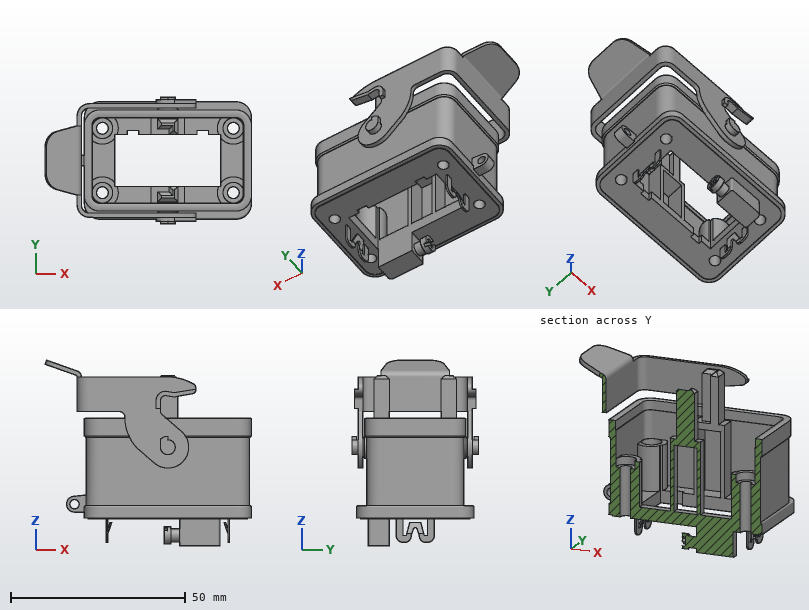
import cadquery as cq
import math


RIM_X, RIM_Y, RIM_RADIUS = 47.95, 29.0, 4.5
WALL_STEP = 0.55
FLANGE_Y = 33.75
SEAL_STEP, SEAL_INSET = 0.3, 1.1
FLANGE_TOP, FLANGE_ROUND = 3.85, 0.5
RIM_BOTTOM, RIM_TOP, RIM_CHAMFER = 23.45, 28.8, 0.4
RIM_WIDTH, RIM_CROWN = 2.2, 0.2
LEDGE_Z, LEDGE_WIDTH = 26.0, 0.2
OPENING_X, OPENING_Y = 30.3, 14.8
NOTCH_X, NOTCH_WIDTH, NOTCH_DEPTH = 10.0, 3.2, 1.1
CAVITY_HALF_Y = RIM_Y / 2 - RIM_WIDTH - LEDGE_WIDTH

BOSS_X, BOSS_Y = 18.75, 9.25
BOSS_RADIUS, BOSS_TOP = 4.55, 17.4
HOLE_RADIUS, BORE_RADIUS, BORE_DEPTH = 1.65, 2.95, 2.35

BLOCK_X, BLOCK_TOP = 9.6, 25.75
POCKET_X, POCKET_TOP, POCKET_DEPTH = 7.1, 23.7, 5.3
POST_X, POST_TOP, POST_CHAMFER = 5.8, 41.15, 1.05
POST_OUTER_Y, POST_STEP_Y, POST_STEP_X = 11.85, 9.0, 0.35

EYE_X, EYE_Z, EYE_RADIUS, EYE_HOLE, EYE_WIDTH = -26.75, 4.25, 2.3, 1.3, 3.1
EYE_ROOT_TOP = 6.9

PIVOT_Z = 20.6
LEVER_LEFT, LEVER_Y, LEVER_THICKNESS, LEVER_RADIUS = -26.05, 32.7, 1.3, 3.6
LEVER_TOP, BAND_BOTTOM = 40.7, 30.8
EAR_RADIUS, EAR_ANGLE = 6.0, 41.0
NECK_X, NECK_ROUND = -12.4, 1.5
HEEL_LENGTH = 6.75
THROAT_LENGTH = 7.45
NOSE_ARC = 14.7
NOSE_X = 7.3
TIP = (8.1, 37.25)
LIP_END = (6.9, 35.85)
SLOT_X, SLOT_BOTTOM = -2.15, 31.1
HOOK_X, HOOK_Z = -0.65, 33.9
DIP_X, DIP_Z = 1.85, 35.0
RIB_WIDTH, RIB_HEIGHT, RIB_BOTTOM = 1.25, 1.1, 31.65

TAB_TILT = 19.5
TAB_LENGTH, TAB_BEND = 9.35, 0.55
TAB_ROOT_WIDTH, TAB_END_WIDTH, TAB_CORNER = 19.75, 14.9, 4.6

PIN_RADIUS, PIN_SPAN = 2.15, 36.3
PIN_END_Y = PIN_SPAN / 2
CAM_RADIUS, CAM_THICKNESS = 3.15, 1.35
DISC_RADIUS, CONE_RADIUS, CONE_TIP_RADIUS = 3.25, 3.15, 2.5

TERMINAL_X, TERMINAL_LENGTH = 3.4, 11.6
TERMINAL_WIDTH, TERMINAL_DROP = 6.1, 7.7
TERMINAL_NEAR_ROUND, TERMINAL_FAR_ROUND = 0.6, 1.1
SCREW_Y, SCREW_Z = -10.4, -4.7
SHANK_RADIUS, SHANK_LENGTH = 1.95, 2.5
HEAD_RADIUS, HEAD_LENGTH = 2.5, 1.95
DRIVE_WIDTH, DRIVE_DEPTH, CROSS_LENGTH, DRIVE_ANGLE = 1.0, 0.95, 2.7, 45.0

CLIP_X, CLIP_THICKNESS = 17.15, 0.55
CLIP_HALF_WIDTH, CLIP_LEG = 5.5, 2.0
CLIP_BOTTOM, CLIP_SEAT, CLIP_INNER = -6.7, -4.7, 1.1
TONGUE_ROOT, TONGUE_TIP, TONGUE_TOP = 2.6, 1.6, -0.95
TONGUE_LEAN, TONGUE_FOLD, ARCH_RADIUS, ARCH_Z = 1.1, -4.15, 0.55, -2.95

EMBED = 0.6


def rounded_slab(size_x, size_y, radius, bottom, top):
    slab = cq.Workplane("XY", origin=(0, 0, bottom)).rect(size_x, size_y).extrude(top - bottom)
    return slab.edges("|Z").fillet(radius)


def box(x0, x1, y0, y1, z0, z1):
    return cq.Workplane("XY").box(x1 - x0, y1 - y0, z1 - z0, centered=False).translate((x0, y0, z0))


def xz_sketch(y):
    """Workplane on the XZ plane; a positive extrusion runs towards -Y."""
    return cq.Workplane("XZ", origin=(0, y, 0))


def both_sides(front):
    return front.union(front.mirror("XZ"))


def make_shell():
    inset = 2 * SEAL_INSET
    shell = rounded_slab(RIM_X - inset, FLANGE_Y - inset, RIM_RADIUS - SEAL_INSET, 0, FLANGE_TOP / 2)
    flange = rounded_slab(RIM_X, FLANGE_Y, RIM_RADIUS, SEAL_STEP, FLANGE_TOP)
    shell = shell.union(flange.faces(">Z").edges().fillet(FLANGE_ROUND))
    body_x, body_y = RIM_X - 2 * WALL_STEP, RIM_Y - 2 * WALL_STEP
    shell = shell.union(rounded_slab(body_x, body_y, RIM_RADIUS - WALL_STEP, SEAL_STEP, RIM_TOP))
    rim = rounded_slab(RIM_X, RIM_Y, RIM_RADIUS, RIM_BOTTOM, RIM_TOP)
    shell = shell.union(rim.faces("<Z").edges().chamfer(RIM_CHAMFER))
    for wall, bottom, top in ((RIM_WIDTH + LEDGE_WIDTH, FLANGE_TOP, LEDGE_Z), (RIM_WIDTH, LEDGE_Z, RIM_TOP)):
        shell = shell.cut(rounded_slab(RIM_X - 2 * wall, RIM_Y - 2 * wall, RIM_RADIUS - wall, bottom, top))
    return shell


def make_rim_crown():
    """Slightly domed bead along the top of the rim."""
    half = RIM_WIDTH / 2
    middle = rounded_slab(RIM_X - RIM_WIDTH, RIM_Y - RIM_WIDTH, RIM_RADIUS - half, RIM_BOTTOM, RIM_TOP)
    path = middle.faces(">Z").wires()
    section = (
        cq.Workplane("YZ", origin=(0, (RIM_Y - RIM_WIDTH) / 2, RIM_TOP))
        .moveTo(-half, 0)
        .threePointArc((0, RIM_CROWN), (half, 0))
        .close()
    )
    return section.sweep(path, transition="round")


def make_blocks():
    inner_y = OPENING_Y / 2
    block = box(-BLOCK_X / 2, BLOCK_X / 2, -CAVITY_HALF_Y - EMBED, -inner_y, EMBED, BLOCK_TOP)
    return both_sides(block)


def make_block_pockets():
    inner_y = OPENING_Y / 2
    pocket = box(-POCKET_X / 2, POCKET_X / 2, -inner_y - POCKET_DEPTH, -inner_y, FLANGE_TOP, POCKET_TOP)
    return both_sides(pocket)


def make_posts():
    inner_y = OPENING_Y / 2
    post = (
        cq.Workplane("XY", origin=(0, 0, BLOCK_TOP - EMBED))
        .moveTo(-POST_X / 2, -POST_OUTER_Y)
        .lineTo(POST_X / 2, -POST_OUTER_Y)
        .lineTo(POST_X / 2, -inner_y)
        .lineTo(POST_STEP_X, -inner_y)
        .lineTo(POST_STEP_X, -POST_STEP_Y)
        .lineTo(-POST_X / 2, -POST_STEP_Y)
        .close()
        .extrude(POST_TOP - BLOCK_TOP + EMBED)
    )
    return both_sides(post.faces(">Z").edges().chamfer(POST_CHAMFER))


def corner_cylinders(radius, bottom, top):
    return (
        cq.Workplane("XY", origin=(0, 0, bottom))
        .rect(2 * BOSS_X, 2 * BOSS_Y, forConstruction=True)
        .vertices()
        .circle(radius)
        .extrude(top - bottom)
    )


def make_bosses():
    envelope = rounded_slab(RIM_X - RIM_WIDTH, RIM_Y - RIM_WIDTH, RIM_RADIUS - RIM_WIDTH / 2, 0, BOSS_TOP)
    return corner_cylinders(BOSS_RADIUS, EMBED, BOSS_TOP).intersect(envelope)


def make_floor_opening():
    half_x, half_y = OPENING_X / 2, OPENING_Y / 2
    opening = box(-half_x, half_x, -half_y, half_y, 0, BOSS_TOP)
    for x in (-NOTCH_X, NOTCH_X):
        left, right = x - NOTCH_WIDTH / 2, x + NOTCH_WIDTH / 2
        opening = opening.union(box(left, right, 0, half_y + NOTCH_DEPTH, 0, FLANGE_TOP))
    return opening


def make_eyelet():
    root_x = -RIM_X / 2 + 2 * EMBED
    eye = (
        xz_sketch(EYE_WIDTH / 2)
        .moveTo(root_x, EYE_Z - EYE_RADIUS)
        .lineTo(EYE_X, EYE_Z - EYE_RADIUS)
        .threePointArc((EYE_X - EYE_RADIUS, EYE_Z), (EYE_X, EYE_Z + EYE_RADIUS))
        .lineTo(-RIM_X / 2 + WALL_STEP, EYE_ROOT_TOP)
        .lineTo(root_x, EYE_ROOT_TOP)
        .close()
        .extrude(EYE_WIDTH)
    )
    hole = xz_sketch(EYE_WIDTH / 2).center(EYE_X, EYE_Z).circle(EYE_HOLE).extrude(EYE_WIDTH)
    return eye.cut(hole)


def make_lever():
    """U-shaped strap in plan, trimmed to the lever's side outline."""
    strap_x = 2 * abs(LEVER_LEFT)
    inner_x = strap_x - 2 * LEVER_THICKNESS
    inner_y = LEVER_Y - 2 * LEVER_THICKNESS
    inner_radius = LEVER_RADIUS - LEVER_THICKNESS
    strap = rounded_slab(strap_x, LEVER_Y, LEVER_RADIUS, 0, LEVER_TOP)
    strap = strap.cut(rounded_slab(inner_x, inner_y, inner_radius, 0, LEVER_TOP))

    angle = math.radians(EAR_ANGLE)
    along_x, along_z = math.cos(angle), -math.sin(angle)
    ear_x, ear_z = EAR_RADIUS * math.sin(angle), EAR_RADIUS * math.cos(angle)
    heel = (-ear_x - HEEL_LENGTH * along_x, PIVOT_Z - ear_z - HEEL_LENGTH * along_z)
    throat = (ear_x - THROAT_LENGTH * along_x, PIVOT_Z + ear_z - THROAT_LENGTH * along_z)
    nose_drop = NOSE_ARC - math.sqrt(NOSE_ARC**2 - NOSE_X**2)
    hook_radius = HOOK_X - SLOT_X
    diagonal = math.sqrt(0.5)
    outline = (
        xz_sketch(LEVER_Y / 2)
        .moveTo(LEVER_LEFT, BAND_BOTTOM)
        .lineTo(NECK_X - NECK_ROUND, BAND_BOTTOM)
        .tangentArcPoint((NECK_X, BAND_BOTTOM - NECK_ROUND), relative=False)
        .tangentArcPoint(heel, relative=False)
        .lineTo(-ear_x, PIVOT_Z - ear_z)
        .threePointArc((EAR_RADIUS * along_x, PIVOT_Z + EAR_RADIUS * along_z), (ear_x, PIVOT_Z + ear_z))
        .lineTo(*throat)
        .tangentArcPoint((SLOT_X, SLOT_BOTTOM), relative=False)
        .lineTo(SLOT_X, HOOK_Z)
        .threePointArc(
            (HOOK_X - hook_radius * diagonal, HOOK_Z + hook_radius * diagonal), (HOOK_X, HOOK_Z + hook_radius)
        )
        .lineTo(DIP_X, DIP_Z)
        .lineTo(*LIP_END)
        .tangentArcPoint(TIP, relative=False)
        .tangentArcPoint((NOSE_X, LEVER_TOP - nose_drop), relative=False)
        .radiusArc((0, LEVER_TOP), -NOSE_ARC)
        .lineTo(LEVER_LEFT, LEVER_TOP)
        .close()
        .extrude(LEVER_Y)
    )
    return strap.intersect(outline)


def make_slot_ribs():
    """Raised lips along the hooked slot, on the outside of each lever arm."""
    inner, diagonal = HOOK_X - SLOT_X, math.sqrt(0.5)
    outer = inner + RIB_WIDTH
    rib = (
        xz_sketch(-LEVER_Y / 2 + EMBED)
        .moveTo(SLOT_X, RIB_BOTTOM)
        .lineTo(SLOT_X, HOOK_Z)
        .threePointArc((HOOK_X - inner * diagonal, HOOK_Z + inner * diagonal), (HOOK_X, HOOK_Z + inner))
        .lineTo(DIP_X, DIP_Z)
        .lineTo(*LIP_END)
        .tangentArcPoint(TIP, relative=False)
        .lineTo(DIP_X, DIP_Z + RIB_WIDTH)
        .lineTo(HOOK_X, HOOK_Z + outer)
        .threePointArc((HOOK_X - outer * diagonal, HOOK_Z + outer * diagonal), (HOOK_X - outer, HOOK_Z))
        .lineTo(SLOT_X - RIB_WIDTH, RIB_BOTTOM)
        .close()
        .extrude(RIB_HEIGHT + EMBED)
    )
    return both_sides(rib)


def make_thumb_tab():
    """Bent, tapered tab: a side section trimmed to an outline square to the tilted sheet."""
    tilt = math.radians(TAB_TILT)
    away = (-math.cos(tilt), math.sin(tilt))
    normal = (math.sin(tilt), math.cos(tilt))
    mid_angle = (math.pi / 2 - tilt) / 2
    middle = (math.cos(mid_angle), math.sin(mid_angle))
    centre = (LEVER_LEFT - TAB_BEND, LEVER_TOP)
    outer_radius = TAB_BEND + LEVER_THICKNESS

    def from_centre(radius, direction, reach=0.0):
        return tuple(centre[i] + radius * direction[i] + reach * away[i] for i in range(2))

    sheet = (
        xz_sketch(TAB_ROOT_WIDTH / 2)
        .moveTo(centre[0] + TAB_BEND, LEVER_TOP - EMBED)
        .lineTo(centre[0] + TAB_BEND, LEVER_TOP)
        .threePointArc(from_centre(TAB_BEND, middle), from_centre(TAB_BEND, normal))
        .lineTo(*from_centre(TAB_BEND, normal, TAB_LENGTH))
        .lineTo(*from_centre(outer_radius, normal, TAB_LENGTH))
        .lineTo(*from_centre(outer_radius, normal))
        .threePointArc(from_centre(outer_radius, middle), (centre[0] + outer_radius, LEVER_TOP))
        .lineTo(centre[0] + outer_radius, LEVER_TOP - EMBED)
        .close()
        .extrude(TAB_ROOT_WIDTH)
    )
    plane = cq.Plane(
        origin=(centre[0], 0, centre[1]), xDir=(away[0], 0, away[1]), normal=(normal[0], 0, normal[1])
    )
    root, end, behind = TAB_ROOT_WIDTH / 2, TAB_END_WIDTH / 2, -2 * outer_radius
    outline = (
        cq.Workplane(plane)
        .moveTo(behind, -root)
        .lineTo(0, -root)
        .lineTo(TAB_LENGTH, -end)
        .lineTo(TAB_LENGTH, end)
        .lineTo(0, root)
        .lineTo(behind, root)
        .close()
        .extrude(2 * outer_radius, both=True)
    )
    tab_end = cq.selectors.BoxSelector(
        plane.toWorldCoords((TAB_LENGTH - EMBED, -root, -EMBED)).toTuple(),
        plane.toWorldCoords((TAB_LENGTH + EMBED, root, EMBED)).toTuple(),
    )
    return sheet.intersect(outline.edges(tab_end).fillet(TAB_CORNER))


def make_pins():
    """Pivot pins with a disc and a cone under each lever arm and a quarter cam at the end."""
    wall_y = RIM_Y / 2 - WALL_STEP
    lever_inner_y = LEVER_Y / 2 - LEVER_THICKNESS
    pin = xz_sketch(-wall_y + EMBED).center(0, PIVOT_Z).circle(PIN_RADIUS).extrude(PIN_END_Y - wall_y + EMBED)
    disc_y = RIM_Y / 2
    disc = xz_sketch(-wall_y + EMBED).center(0, PIVOT_Z).circle(DISC_RADIUS).extrude(disc_y - wall_y + EMBED)
    cone = (
        xz_sketch(-disc_y)
        .center(0, PIVOT_Z)
        .circle(CONE_RADIUS)
        .workplane(offset=lever_inner_y - disc_y)
        .circle(CONE_TIP_RADIUS)
        .loft()
    )
    cam_start = -PIN_END_Y + CAM_THICKNESS
    cam = xz_sketch(cam_start).center(0, PIVOT_Z).circle(CAM_RADIUS).extrude(CAM_THICKNESS)
    quarter = box(-PIN_RADIUS, 0, -PIN_END_Y, cam_start, PIVOT_Z, PIVOT_Z + CAM_RADIUS)
    return both_sides(pin.union(disc).union(cone).union(cam.intersect(quarter)))


def make_terminal():
    far_x = TERMINAL_X + TERMINAL_LENGTH
    inner_y = -OPENING_Y / 2
    block = box(TERMINAL_X, far_x, inner_y - TERMINAL_WIDTH, inner_y, -TERMINAL_DROP, EMBED)
    block = block.edges("|Z and <X and <Y").fillet(TERMINAL_NEAR_ROUND)
    return block.edges("|Z and >X and <Y").fillet(TERMINAL_FAR_ROUND)


def make_terminal_screw():
    head_x = TERMINAL_X - SHANK_LENGTH
    face_x = head_x - HEAD_LENGTH
    shank = cq.Workplane("YZ", origin=(head_x, SCREW_Y, SCREW_Z)).circle(SHANK_RADIUS)
    head = cq.Workplane("YZ", origin=(face_x, SCREW_Y, SCREW_Z)).circle(HEAD_RADIUS)
    screw = shank.extrude(SHANK_LENGTH + EMBED).union(head.extrude(HEAD_LENGTH))
    for length, angle in ((2 * HEAD_RADIUS, -DRIVE_ANGLE), (CROSS_LENGTH, DRIVE_ANGLE)):
        slot = cq.Workplane("YZ").rect(length, DRIVE_WIDTH).extrude(DRIVE_DEPTH)
        slot = slot.rotate((0, 0, 0), (1, 0, 0), angle)
        screw = screw.cut(slot.translate((face_x, SCREW_Y, SCREW_Z)))
    return screw


def make_clip():
    """Sheet-metal clip on the +X side: two hooked legs carrying one leaning tongue."""
    leg_inner = CLIP_HALF_WIDTH - CLIP_LEG
    curl = CLIP_SEAT - CLIP_BOTTOM
    leg = (
        cq.Workplane("YZ", origin=(CLIP_X, 0, 0))
        .moveTo(-CLIP_HALF_WIDTH, EMBED)
        .lineTo(-CLIP_HALF_WIDTH, CLIP_SEAT)
        .radiusArc((-CLIP_HALF_WIDTH + curl, CLIP_BOTTOM), -curl)
        .lineTo(-TONGUE_ROOT, CLIP_BOTTOM)
        .radiusArc((-CLIP_INNER, CLIP_SEAT), -curl)
        .lineTo(-leg_inner, CLIP_SEAT)
        .lineTo(-leg_inner, EMBED)
        .close()
        .extrude(CLIP_THICKNESS)
    )
    outline = (
        cq.Workplane("YZ", origin=(CLIP_X - 2 * TONGUE_LEAN, 0, 0))
        .moveTo(-CLIP_INNER, CLIP_SEAT)
        .lineTo(-ARCH_RADIUS, ARCH_Z)
        .threePointArc((0, ARCH_Z + ARCH_RADIUS), (ARCH_RADIUS, ARCH_Z))
        .lineTo(CLIP_INNER, CLIP_SEAT)
        .lineTo(TONGUE_ROOT, CLIP_SEAT)
        .lineTo(TONGUE_TIP, TONGUE_TOP)
        .lineTo(-TONGUE_TIP, TONGUE_TOP)
        .lineTo(-TONGUE_ROOT, CLIP_SEAT)
        .close()
        .extrude(2 * TONGUE_LEAN + CLIP_THICKNESS)
    )
    leaning_sheet = (
        xz_sketch(CLIP_HALF_WIDTH)
        .moveTo(CLIP_X, CLIP_SEAT)
        .lineTo(CLIP_X + CLIP_THICKNESS, CLIP_SEAT)
        .lineTo(CLIP_X + CLIP_THICKNESS, TONGUE_FOLD)
        .lineTo(CLIP_X + CLIP_THICKNESS - TONGUE_LEAN, TONGUE_TOP)
        .lineTo(CLIP_X - TONGUE_LEAN, TONGUE_TOP)
        .lineTo(CLIP_X, TONGUE_FOLD)
        .close()
        .extrude(2 * CLIP_HALF_WIDTH)
    )
    return both_sides(leg).union(outline.intersect(leaning_sheet))


housing = make_shell().union(make_rim_crown()).union(make_bosses()).union(make_blocks())
housing = housing.cut(make_floor_opening()).cut(make_block_pockets())
housing = housing.cut(corner_cylinders(HOLE_RADIUS, 0, BOSS_TOP))
housing = housing.cut(corner_cylinders(BORE_RADIUS, BOSS_TOP - BORE_DEPTH, BOSS_TOP))
housing = housing.union(make_posts()).union(make_eyelet())

lever = make_lever().union(make_slot_ribs()).union(make_thumb_tab())
clip = make_clip()
result = housing.union(make_pins()).union(lever)
result = result.union(make_terminal()).union(make_terminal_screw())
result = result.union(clip).union(clip.mirror("YZ"))